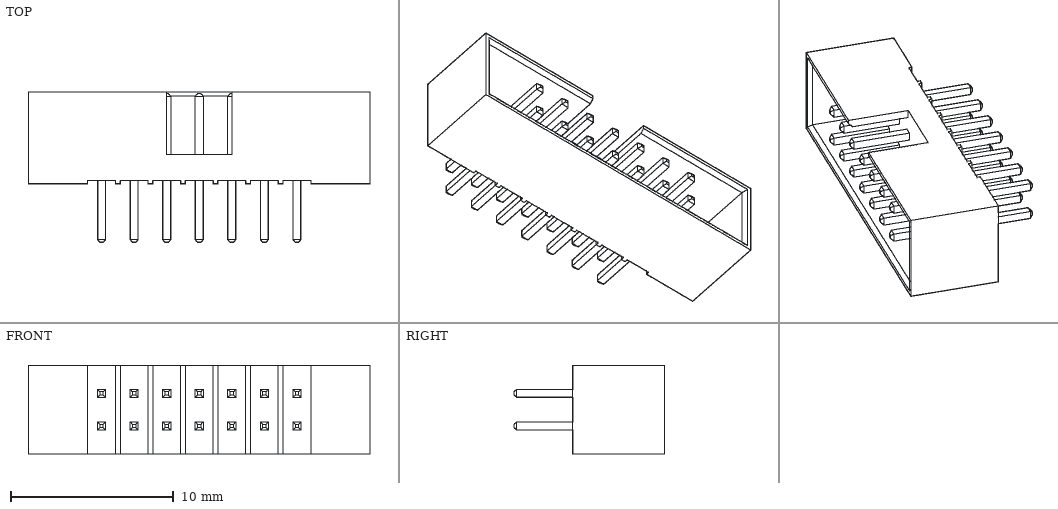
import cadquery as cq

length = 21.0
depth = 5.65
height = 5.45
wall = 0.5
mouth_chamfer = 0.25

cavity_depth = 3.85
key_width = 4.0

columns = 7
rows = 2
pitch = 2.0
pin_width = 0.5
overall_depth = 9.25
tail_length = overall_depth - depth
pin_inset = 0.1
tip_length = 0.17
tip_width = 0.2

recess_depth = 0.2
rib_width = 0.3
recess_width = pitch - rib_width

column_positions = [(i - (columns - 1) / 2) * pitch for i in range(columns)]
row_positions = [(i - (rows - 1) / 2) * pitch for i in range(rows)]


def block(size_x, size_z, y_start, y_end):
    """Box centred on X and Z that spans y_start to y_end."""
    centred = (True, False, True)
    box = cq.Workplane("XY").box(size_x, y_end - y_start, size_z, centered=centred)
    return box.translate((0, y_start, 0))


def make_housing():
    """Open box with a chamfered mouth, a key slot and a recessed seating face."""
    cavity_floor = depth - cavity_depth
    housing = block(length, height, 0, depth)
    cavity = block(length - 2 * wall, height - 2 * wall, cavity_floor, depth)
    housing = housing.cut(cavity)

    mouth_edges = cq.selectors.BoxSelector(
        (-length / 2 + wall / 2, depth - wall / 2, -height / 2 + wall / 2),
        (length / 2 - wall / 2, depth + wall / 2, height / 2 - wall / 2),
    )
    housing = housing.edges(mouth_edges).chamfer(mouth_chamfer)

    key_slot = block(key_width, height / 2, cavity_floor, depth).translate((0, 0, height / 4))
    housing = housing.cut(key_slot)

    recess = block(recess_width, height, 0, recess_depth)
    for x in column_positions:
        housing = housing.cut(recess.translate((x, 0, 0)))
    return housing


def make_tip():
    """Tapered pin end pointing along -Y, with its wide end at Y = 0."""
    return (
        cq.Workplane("XZ")
        .rect(pin_width, pin_width)
        .workplane(offset=tip_length)
        .rect(tip_width, tip_width)
        .loft(ruled=True)
    )


def make_pin():
    """Square pin through the cavity floor, tapered at both ends."""
    tail_shoulder = tip_length - tail_length
    mating_shoulder = depth - pin_inset - tip_length
    tip = make_tip()
    tail_tip = tip.translate((0, tail_shoulder, 0))
    mating_tip = tip.mirror("XZ").translate((0, mating_shoulder, 0))
    shank = block(pin_width, pin_width, tail_shoulder, mating_shoulder)
    return shank.union(tail_tip).union(mating_tip)


result = make_housing()
pin = make_pin()
for column_x in column_positions:
    for row_z in row_positions:
        result = result.union(pin.translate((column_x, 0, row_z)))